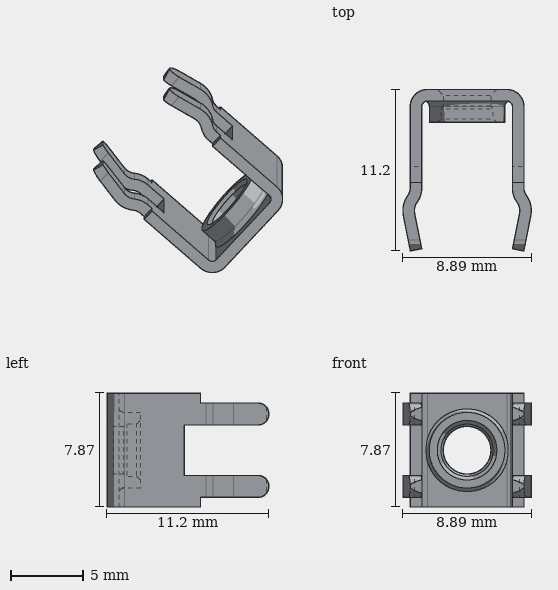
import cadquery as cq
import math

wall_spacing = 7.874
leg_span = 8.89
length = 11.176
height = 7.874
sheet = 0.8128
bend_inner_radius = 0.381
bend_outer_radius = bend_inner_radius + sheet

shoulder_depth = 6.45
notch_depth = 5.33
leg_pitch = 5.0
leg_width = 1.53

kink_depth = 6.83
out_bend_radius = 0.8128
in_bend_radius = 1.82
tip_tilt = math.radians(11.3)

collar_diameter = 5.23
collar_length = 2.286
collar_root_run = 0.24
collar_root_height = 0.37
bore_diameter = 3.61
throat_diameter = 3.28
mouth_chamfer = 0.254
throat_start = 0.92
throat_taper_length = 0.225

back_y = length / 2
inner_face_y = back_y - sheet
collar_end_y = back_y - collar_length
outer_x = wall_spacing / 2
inner_x = outer_x - sheet
bulge = (leg_span - wall_spacing) / 2
kink_angle = math.acos(1 - bulge / (out_bend_radius + in_bend_radius))


def on_circle(center, radius, angle):
    """Point on a circle, with the angle measured from +X towards -Y."""
    return (center[0] + radius * math.cos(angle), center[1] - radius * math.sin(angle))


def half_strip():
    """Bent strip on the +X side, full height, before the walls are cut into legs."""
    bend_center = (outer_x - bend_outer_radius, back_y - bend_outer_radius)
    kink_y = back_y - kink_depth
    out_center = (outer_x + out_bend_radius, kink_y)
    in_center = (
        leg_span / 2 - in_bend_radius,
        kink_y - (out_bend_radius + in_bend_radius) * math.sin(kink_angle),
    )
    out_inner_radius = out_bend_radius + sheet
    in_inner_radius = in_bend_radius - sheet

    bulge_end = on_circle(in_center, in_bend_radius, tip_tilt)
    drop = bulge_end[1] + length / 2
    tip_outer = (bulge_end[0] - drop * math.tan(tip_tilt), -length / 2)
    tip_inner = (
        tip_outer[0] - sheet * math.cos(tip_tilt),
        tip_outer[1] + sheet * math.sin(tip_tilt),
    )
    out_middle = math.pi - kink_angle / 2
    in_middle = (tip_tilt - kink_angle) / 2

    return (
        cq.Workplane("XY", origin=(0, 0, -height / 2))
        .moveTo(0, back_y)
        .lineTo(bend_center[0], back_y)
        .threePointArc(
            on_circle(bend_center, bend_outer_radius, -math.pi / 4),
            (outer_x, bend_center[1]),
        )
        .lineTo(outer_x, kink_y)
        .threePointArc(
            on_circle(out_center, out_bend_radius, out_middle),
            on_circle(out_center, out_bend_radius, math.pi - kink_angle),
        )
        .threePointArc(on_circle(in_center, in_bend_radius, in_middle), bulge_end)
        .lineTo(*tip_outer)
        .lineTo(*tip_inner)
        .lineTo(*on_circle(in_center, in_inner_radius, tip_tilt))
        .threePointArc(
            on_circle(in_center, in_inner_radius, in_middle),
            on_circle(in_center, in_inner_radius, -kink_angle),
        )
        .threePointArc(
            on_circle(out_center, out_inner_radius, out_middle),
            (inner_x, kink_y),
        )
        .lineTo(inner_x, bend_center[1])
        .threePointArc(
            on_circle(bend_center, bend_inner_radius, -math.pi / 4),
            (bend_center[0], inner_face_y),
        )
        .lineTo(0, inner_face_y)
        .close()
        .extrude(height)
    )


def side_silhouette():
    """Block with the side outline: shouldered wall, centre notch and round-ended legs."""
    notch_y = back_y - notch_depth
    notch_height = leg_pitch - leg_width
    body = cq.Workplane("XY").box(leg_span, shoulder_depth, height)
    body = body.translate((0, back_y - shoulder_depth / 2, 0))
    notch = cq.Workplane("XY").box(leg_span, length, notch_height)
    body = body.cut(notch.translate((0, notch_y - length / 2, 0)))

    tip_radius = leg_width / 2
    tip_center_y = -length / 2 + tip_radius
    leg_length = notch_y - tip_center_y
    for leg_z in (-leg_pitch / 2, leg_pitch / 2):
        shank = cq.Workplane("XY").box(leg_span, leg_length, leg_width)
        shank = shank.translate((0, tip_center_y + leg_length / 2, leg_z))
        tip = (
            cq.Workplane("YZ", origin=(-leg_span / 2, 0, 0))
            .center(tip_center_y, leg_z)
            .circle(tip_radius)
            .extrude(leg_span)
        )
        body = body.union(shank).union(tip)
    return body


def revolve_about_y(profile):
    """Close a profile and turn it about the collar axis."""
    return profile.close().revolve(360, (0, 0, 0), (0, 1, 0))


def collar():
    """Collar with a concave root whose arc runs tangent into the collar wall."""
    radius = collar_diameter / 2
    root_y = inner_face_y - collar_root_height
    return revolve_about_y(
        cq.Workplane("XY")
        .moveTo(0, collar_end_y)
        .lineTo(radius, collar_end_y)
        .lineTo(radius, root_y)
        .tangentArcPoint((radius + collar_root_run, inner_face_y), relative=False)
        .lineTo(radius + collar_root_run, inner_face_y + sheet / 2)
        .lineTo(0, inner_face_y + sheet / 2)
    )


def bore():
    """Bore narrowing to a throat, opening to the same mouth diameter at both ends."""
    bore_radius = bore_diameter / 2
    throat_radius = throat_diameter / 2
    mouth_radius = bore_radius + mouth_chamfer
    exit_chamfer = mouth_radius - throat_radius
    throat_y = collar_end_y + throat_start
    return revolve_about_y(
        cq.Workplane("XY")
        .moveTo(0, collar_end_y)
        .lineTo(mouth_radius, collar_end_y)
        .lineTo(bore_radius, collar_end_y + mouth_chamfer)
        .lineTo(bore_radius, throat_y)
        .lineTo(throat_radius, throat_y + throat_taper_length)
        .lineTo(throat_radius, back_y - exit_chamfer)
        .lineTo(mouth_radius, back_y)
        .lineTo(0, back_y)
    )


right_half = half_strip()
strip = right_half.union(right_half.mirror("YZ"))
bracket = strip.intersect(side_silhouette())
result = bracket.union(collar()).cut(bore())